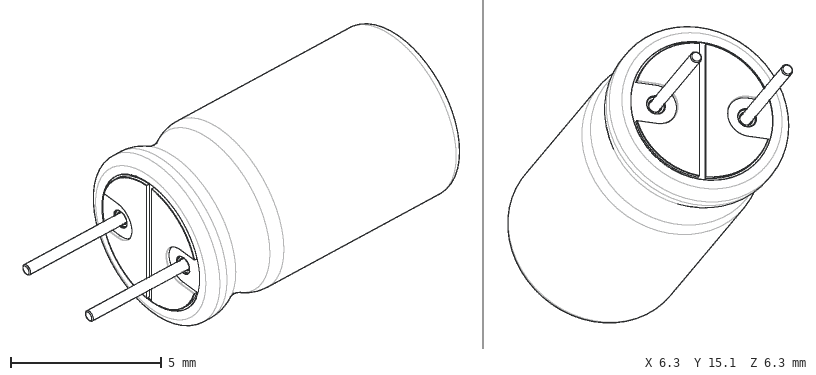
import cadquery as cq
import math


TOTAL_LENGTH = 15.1
CAN_LENGTH = 11.01
LEAD_REACH = TOTAL_LENGTH - CAN_LENGTH

CAN_RADIUS = 6.3 / 2
END_FILLET = 0.33

NECK_CENTER = 1.89
NECK_SHOULDER_RADIUS = 1.0
NECK_VALLEY_RADIUS = 1.5
NECK_ANGLE = math.radians(30)

MOUTH_RADIUS = 5.0 / 2
MOUTH_DEPTH = 0.05
SEAL_RADIUS = 4.85 / 2
SEAL_RISE = 0.08
SEAL_EDGE_FILLET = 0.02
VENT_SLOT_WIDTH = 0.24
NOTCH_WIDTH = 1.43

LEAD_PITCH = 3.2
LEAD_RADIUS = 0.4 / 2
LEAD_TIP_CHAMFER = 0.038
WELL_RADIUS = 0.62 / 2
WELL_RIM_CHAMFER = 0.023
WELL_RIM_FLARE = 45
WELL_DEPTH = 0.08
WELL_FLOOR_Y = MOUTH_DEPTH + WELL_DEPTH
LEAD_HOLE_RADIUS = 0.47 / 2
LEAD_HOLE_DEPTH = 0.08
LEAD_HOLE_FLOOR_Y = WELL_FLOOR_Y + LEAD_HOLE_DEPTH
LEAD_CENTERS = [(-LEAD_PITCH / 2, 0), (LEAD_PITCH / 2, 0)]


def plane_at(y):
    """XZ sketch plane at height y; positive extrusion runs toward -Y."""
    return cq.Workplane("XZ", origin=(0, y, 0))


def make_can():
    """Revolve the can outline, with the crimped neck, about the Y axis."""
    def arc_drop(radius, angle):
        return radius * (1 - math.cos(angle))

    half_angle = NECK_ANGLE / 2
    valley_half = NECK_VALLEY_RADIUS * math.sin(NECK_ANGLE)
    neck_half = valley_half + NECK_SHOULDER_RADIUS * math.sin(NECK_ANGLE)
    shoulder_mid = neck_half - NECK_SHOULDER_RADIUS * math.sin(half_angle)

    shoulder_mid_radius = CAN_RADIUS - arc_drop(NECK_SHOULDER_RADIUS, half_angle)
    inflection_radius = CAN_RADIUS - arc_drop(NECK_SHOULDER_RADIUS, NECK_ANGLE)
    valley_radius = inflection_radius - arc_drop(NECK_VALLEY_RADIUS, NECK_ANGLE)

    outline = (
        cq.Workplane("XY")
        .lineTo(CAN_RADIUS, 0)
        .lineTo(CAN_RADIUS, NECK_CENTER - neck_half)
        .threePointArc(
            (shoulder_mid_radius, NECK_CENTER - shoulder_mid),
            (inflection_radius, NECK_CENTER - valley_half),
        )
        .threePointArc(
            (valley_radius, NECK_CENTER),
            (inflection_radius, NECK_CENTER + valley_half),
        )
        .threePointArc(
            (shoulder_mid_radius, NECK_CENTER + shoulder_mid),
            (CAN_RADIUS, NECK_CENTER + neck_half),
        )
        .lineTo(CAN_RADIUS, CAN_LENGTH)
        .lineTo(0, CAN_LENGTH)
        .close()
    )
    can = outline.revolve(360, (0, 0, 0), (0, 1, 0))
    can = can.faces("<Y or >Y").edges().fillet(END_FILLET)
    mouth = plane_at(MOUTH_DEPTH).circle(MOUTH_RADIUS).extrude(MOUTH_DEPTH)
    return can.cut(mouth)


def make_seal():
    """Raised seal disc, notched around each lead and split by a vent slot."""
    height = MOUTH_DEPTH + SEAL_RISE
    seal = plane_at(MOUTH_DEPTH).circle(SEAL_RADIUS).extrude(height)
    for side in (-1, 1):
        notch = (
            plane_at(MOUTH_DEPTH)
            .center(side * LEAD_PITCH, 0)
            .slot2D(LEAD_PITCH + NOTCH_WIDTH, NOTCH_WIDTH)
            .extrude(height)
        )
        seal = seal.cut(notch)
    seal = seal.faces("<Y").edges().fillet(SEAL_EDGE_FILLET)
    vent_slot = plane_at(MOUTH_DEPTH).rect(VENT_SLOT_WIDTH, 2 * SEAL_RADIUS).extrude(height)
    return seal.cut(vent_slot)


def lead_cylinders(radius, start_y, end_y, flare=0):
    """One cylinder on each lead axis from start_y toward -Y to end_y, widening by flare degrees."""
    return (
        plane_at(start_y)
        .pushPoints(LEAD_CENTERS)
        .circle(radius)
        .extrude(start_y - end_y, taper=-flare)
    )


def make_lead_wells():
    """Shallow wells with chamfered rims in the notch floors, each with a narrower hole below."""
    wells = lead_cylinders(WELL_RADIUS, WELL_FLOOR_Y, MOUTH_DEPTH)
    holes = lead_cylinders(LEAD_HOLE_RADIUS, LEAD_HOLE_FLOOR_Y, MOUTH_DEPTH)
    rims = lead_cylinders(WELL_RADIUS, MOUTH_DEPTH + WELL_RIM_CHAMFER, MOUTH_DEPTH, flare=WELL_RIM_FLARE)
    return wells.union(holes).union(rims)


def make_leads():
    """Lead wires with chamfered tips, rooted in the bottoms of the holes."""
    leads = lead_cylinders(LEAD_RADIUS, LEAD_HOLE_FLOOR_Y, -LEAD_REACH)
    return leads.faces("<Y").edges().chamfer(LEAD_TIP_CHAMFER)


result = make_can().union(make_seal()).cut(make_lead_wells()).union(make_leads())